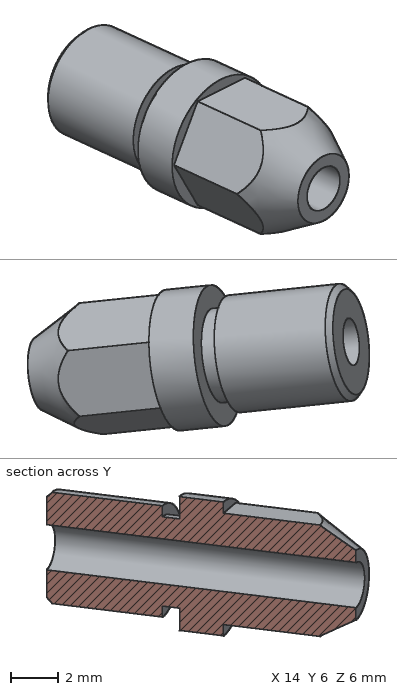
import cadquery as cq
import math

total_length = 14.0
back_x = -total_length / 2
tip_x = total_length / 2
shank_length = 5.25
collar_start = 6.0
collar_length = 2.0
shank_end_x = back_x + shank_length
collar_back_x = back_x + collar_start
collar_front_x = collar_back_x + collar_length

shank_diameter = 5.0
shank_chamfer = 0.25
neck_diameter = 4.02
collar_diameter = 6.0
bore_diameter = 2.0
hex_across_flats = 5.0
tip_diameter = 3.12
cone_half_angle = 30.0


def cylinder(diameter, start_x, end_x):
    """Solid cylinder along X between two stations."""
    return cq.Workplane("YZ", origin=(start_x, 0, 0)).circle(diameter / 2).extrude(end_x - start_x)


def hex_nose():
    """Hexagon with flats facing +Z and -Z, turned to a cone at the tip."""
    length = tip_x - collar_front_x
    corner_diameter = hex_across_flats / math.cos(math.radians(30))
    prism = cq.Workplane("YZ", origin=(collar_front_x, 0, 0)).polygon(6, corner_diameter).extrude(length)

    tip_radius = tip_diameter / 2
    collar_radius = collar_diameter / 2
    cone_length = (collar_radius - tip_radius) / math.tan(math.radians(cone_half_angle))
    envelope = (
        cq.Workplane("XY")
        .moveTo(collar_front_x, 0)
        .lineTo(collar_front_x, collar_radius)
        .lineTo(tip_x - cone_length, collar_radius)
        .lineTo(tip_x, tip_radius)
        .lineTo(tip_x, 0)
        .close()
        .revolve(360, (0, 0, 0), (1, 0, 0))
    )
    return prism.intersect(envelope)


shank = cylinder(shank_diameter, back_x, shank_end_x).faces("<X").chamfer(shank_chamfer)
neck = cylinder(neck_diameter, shank_end_x, collar_back_x)
collar = cylinder(collar_diameter, collar_back_x, collar_front_x)
bore = cylinder(bore_diameter, back_x, tip_x)

result = shank.union(neck).union(collar).union(hex_nose()).cut(bore)